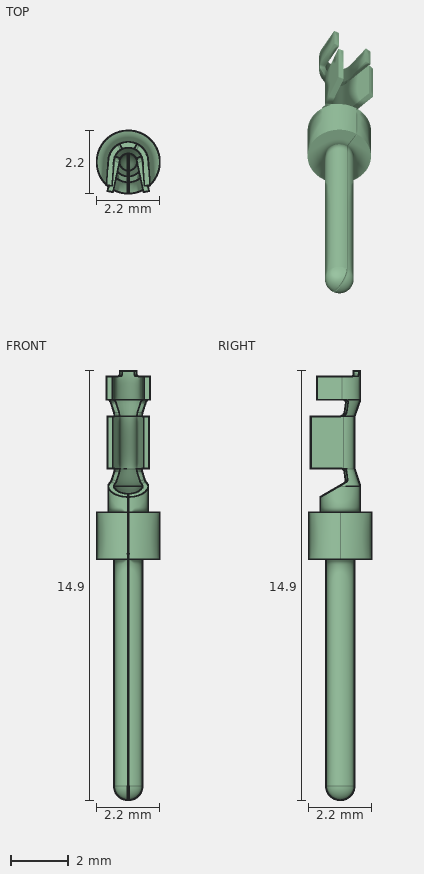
import cadquery as cq
import math

sheet = 0.2
pin_radius = 0.5
barrel_radius = 0.7
collar_radius = 1.1
pin_bore_radius = pin_radius - sheet
barrel_bore_radius = barrel_radius - sheet

collar_bottom = 8.36
collar_top = 10.0
barrel_low_edge = 10.52
barrel_top = 10.9
wire_bottom = 11.51
wire_top = 13.32
insulation_bottom = 13.89
insulation_top = 14.71
lip_top = 14.9
bore_step = collar_bottom + sheet

wire_lean = 12
wire_reach = 1.05
insulation_lean = 4
insulation_reach = 0.82

seam_width = 0.05
slant_angle = 30
neck_start_angle = 24
lip_half_angle = 25
tip_arc_angle = -45

wire_top_fillet = 0.15
neck_fillet = 0.1
lip_fillet = 0.08

cutter_size = 4 * collar_radius


def polar(radius, angle):
    """Point at a radius and an angle in degrees."""
    a = math.radians(angle)
    return (radius * math.cos(a), radius * math.sin(a))


def mirrored(point):
    return (-point[0], point[1])


def wedge(start_angle, bottom, top):
    """Prism about +Y, bounded by radial planes at start_angle above the X axis."""
    right = polar(cutter_size, start_angle)
    corner = (right[0], cutter_size)
    outline = [(0, 0), right, corner, mirrored(corner), mirrored(right)]
    return cq.Workplane("XY").workplane(offset=bottom).polyline(outline).close().extrude(top - bottom)


def flares(start_angle, height, direction, radius):
    """Concave corner fills that round a wedge's two sides into a flat face at a height.

    The direction is 1 when the wedge stands on the face and -1 when it hangs below it.
    """
    arc_offset = radius * (1 - math.sqrt(0.5))
    fill = (
        cq.Workplane("YZ")
        .moveTo(0, 0)
        .lineTo(-radius, 0)
        .threePointArc((-arc_offset, direction * arc_offset), (0, direction * radius))
        .close()
        .extrude(barrel_radius)
        .rotate((0, 0, 0), (0, 0, 1), start_angle)
        .translate((0, 0, height))
    )
    return fill.union(fill.mirror("YZ"))


def pin_body():
    """Hollow pin with a round tip, the collar and the barrel, turned about Z."""
    tip_outer = polar(pin_radius, tip_arc_angle)
    tip_inner = polar(pin_bore_radius, tip_arc_angle)
    return (
        cq.Workplane("XZ")
        .moveTo(0, 0)
        .threePointArc((tip_outer[0], pin_radius + tip_outer[1]), (pin_radius, pin_radius))
        .lineTo(pin_radius, collar_bottom)
        .lineTo(collar_radius, collar_bottom)
        .lineTo(collar_radius, collar_top)
        .lineTo(barrel_radius, collar_top)
        .lineTo(barrel_radius, barrel_top)
        .lineTo(pin_radius, wire_bottom)
        .lineTo(pin_bore_radius, wire_bottom)
        .lineTo(barrel_bore_radius, barrel_top)
        .lineTo(barrel_bore_radius, bore_step)
        .lineTo(pin_bore_radius, bore_step)
        .lineTo(pin_bore_radius, pin_radius)
        .threePointArc((tip_inner[0], pin_radius + tip_inner[1]), (0, sheet))
        .close()
        .revolve(360, (0, 0, 0), (0, 1, 0))
    )


def mouth_height(y):
    """Height of the slanted barrel mouth at a given Y."""
    return barrel_low_edge + (y + barrel_radius) * math.tan(math.radians(slant_angle))


def barrel_opening():
    """Everything above the slanted barrel mouth except the strap at the back."""
    front_y = -cutter_size
    front_z = mouth_height(front_y)
    back_z = mouth_height(cutter_size)
    above_mouth = (
        cq.Workplane("YZ")
        .polyline([(front_y, front_z), (cutter_size, back_z), (front_y, back_z)])
        .close()
        .extrude(cutter_size, both=True)
    )
    strap = wedge(neck_start_angle, collar_top, lip_top)
    return above_mouth.cut(strap).cut(flares(neck_start_angle, wire_bottom, -1, neck_fillet))


def round_mouth_corners(body):
    """Fillet the two corners where the barrel mouth runs up into the strap."""
    x, y = polar(barrel_bore_radius, neck_start_angle)
    for side in (-1, 1):
        corner = (side * x, y, mouth_height(y))
        body = body.edges(cq.selectors.NearestToPointSelector(corner)).fillet(neck_fillet)
    return body


def upper_neck():
    """Conical strap between the wire wings and the insulation wings."""
    cone = (
        cq.Workplane("XZ")
        .polyline([
            (pin_bore_radius, wire_top),
            (pin_radius, wire_top),
            (barrel_radius, insulation_bottom),
            (barrel_bore_radius, insulation_bottom),
        ])
        .close()
        .revolve(360, (0, 0, 0), (0, 1, 0))
    )
    strap = wedge(neck_start_angle, wire_top, insulation_bottom)
    strap = strap.union(flares(neck_start_angle, wire_top, 1, wire_top_fillet))
    strap = strap.union(flares(neck_start_angle, insulation_bottom, -1, neck_fillet))
    return cone.intersect(strap)


def wings(radius, lean, reach, bottom, top):
    """U-shaped crimp: a round back and two straight wings leaning outward."""
    inner_radius = radius - sheet
    outer_tangent = polar(radius, lean)
    inner_tangent = polar(inner_radius, lean)
    length = (reach + inner_tangent[1]) / math.cos(math.radians(lean))
    run = polar(length, lean - 90)
    outer_end = (outer_tangent[0] + run[0], outer_tangent[1] + run[1])
    inner_end = (inner_tangent[0] + run[0], inner_tangent[1] + run[1])
    return (
        cq.Workplane("XY")
        .workplane(offset=bottom)
        .moveTo(*outer_end)
        .lineTo(*outer_tangent)
        .threePointArc((0, radius), mirrored(outer_tangent))
        .lineTo(*mirrored(outer_end))
        .lineTo(*mirrored(inner_end))
        .lineTo(*mirrored(inner_tangent))
        .threePointArc((0, inner_radius), inner_tangent)
        .lineTo(*inner_end)
        .close()
        .extrude(top - bottom)
    )


def lip():
    """Short tongue on the back of the insulation crimp."""
    ring = (
        cq.Workplane("XY")
        .workplane(offset=insulation_top)
        .circle(barrel_radius)
        .circle(barrel_bore_radius)
        .extrude(lip_top - insulation_top)
    )
    start_angle = 90 - lip_half_angle
    tongue = wedge(start_angle, insulation_top, lip_top)
    return ring.intersect(tongue.union(flares(start_angle, insulation_top, 1, lip_fillet)))


def cut_seam(body):
    """Rolled seam along the -Y side, running right through the rounded tip."""
    front = (
        cq.Workplane("XY")
        .box(seam_width, cutter_size, barrel_top, centered=(True, False, False))
        .translate((0, -cutter_size, 0))
    )
    tip = cq.Workplane("XY").box(seam_width, cutter_size, pin_radius, centered=(True, True, False))
    return body.cut(front).cut(tip)


result = round_mouth_corners(pin_body().cut(barrel_opening()))
result = result.union(wings(pin_radius, wire_lean, wire_reach, wire_bottom, wire_top))
result = result.union(upper_neck())
result = result.union(
    wings(barrel_radius, insulation_lean, insulation_reach, insulation_bottom, insulation_top)
)
result = result.union(lip())
result = cut_seam(result)